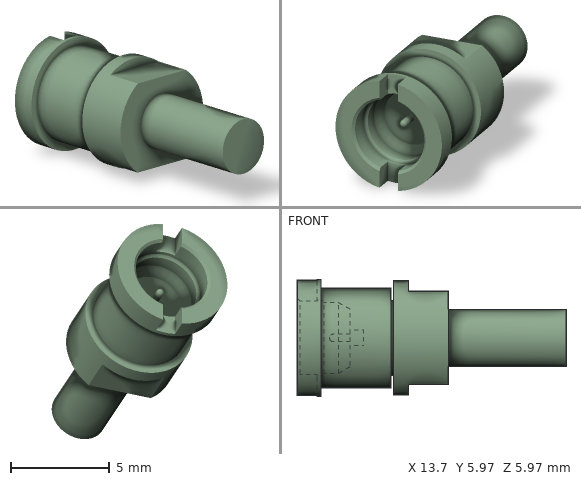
import cadquery as cq

total_length = 13.7
flange_end = 1.22
barrel_end = 4.77
neck_end = 4.89
flats_start = 5.67
collar_end = 7.7

flange_diameter = 5.97
barrel_diameter = 5.08
neck_diameter = 3.84
collar_diameter = 5.84
tail_diameter = 2.92

across_flats = 4.75
slot_width = 1.03
slot_depth = 1.01

mouth_diameter = 4.16
bore_diameter = 3.89
seat_diameter = 3.6
floor_diameter = 2.95
mouth_chamfer_end = 0.14
bore_end = 1.22
seat_start = 1.35
seat_end = 2.11
floor_depth = 2.69

pin_diameter = 0.38
pin_base_diameter = 0.78
pin_base_length = 0.68
pin_tip = 1.65


def rod(diameter, start, end):
    """Cylinder on the X axis between two X positions."""
    return cq.Workplane("YZ").workplane(offset=start).circle(diameter / 2).extrude(end - start)


def make_collar():
    """Round collar with two wrench flats, above and below the axis."""
    collar = rod(collar_diameter, neck_end, collar_end)
    plain_rim = rod(collar_diameter, neck_end, flats_start)
    flats_length = collar_end - flats_start
    flats_envelope = cq.Workplane("XY").box(
        flats_length, collar_diameter, across_flats, centered=(False, True, True)
    ).translate((flats_start, 0, 0))
    return plain_rim.union(collar.intersect(flats_envelope))


def make_bore():
    """Revolved socket cavity with a chamfered mouth, a step and a tapered end."""
    profile = [
        (0, 0),
        (0, mouth_diameter / 2),
        (mouth_chamfer_end, bore_diameter / 2),
        (bore_end, bore_diameter / 2),
        (seat_start, seat_diameter / 2),
        (seat_end, seat_diameter / 2),
        (floor_depth, floor_diameter / 2),
        (floor_depth, 0),
    ]
    return cq.Workplane("XY").polyline(profile).close().revolve(360, (0, 0, 0), (1, 0, 0))


def make_slot():
    """Slot across the whole mouth, parallel to Z."""
    return cq.Workplane("XY").box(
        slot_depth, slot_width, flange_diameter, centered=(False, True, True)
    )


def make_housing():
    """Connector shell with a recess in the bore floor for the pin base."""
    body = rod(flange_diameter, 0, flange_end)
    body = body.union(rod(barrel_diameter, flange_end, barrel_end))
    body = body.union(rod(neck_diameter, barrel_end, neck_end))
    body = body.union(make_collar())
    body = body.union(rod(tail_diameter, collar_end, total_length))
    pin_recess = rod(pin_base_diameter, floor_depth, floor_depth + pin_base_length)
    return body.cut(make_bore()).cut(make_slot()).cut(pin_recess)


def make_pin():
    """Contact pin with a round tip and a base flush with the bore floor."""
    base = rod(pin_base_diameter, floor_depth, floor_depth + pin_base_length)
    tip_radius = pin_diameter / 2
    tip_center = pin_tip + tip_radius
    shaft = rod(pin_diameter, tip_center, floor_depth)
    tip = cq.Workplane("XY").sphere(tip_radius).translate((tip_center, 0, 0))
    return base.union(shaft).union(tip)


housing = make_housing()
pin = make_pin()
result = cq.Compound.makeCompound([housing.val(), pin.val()])